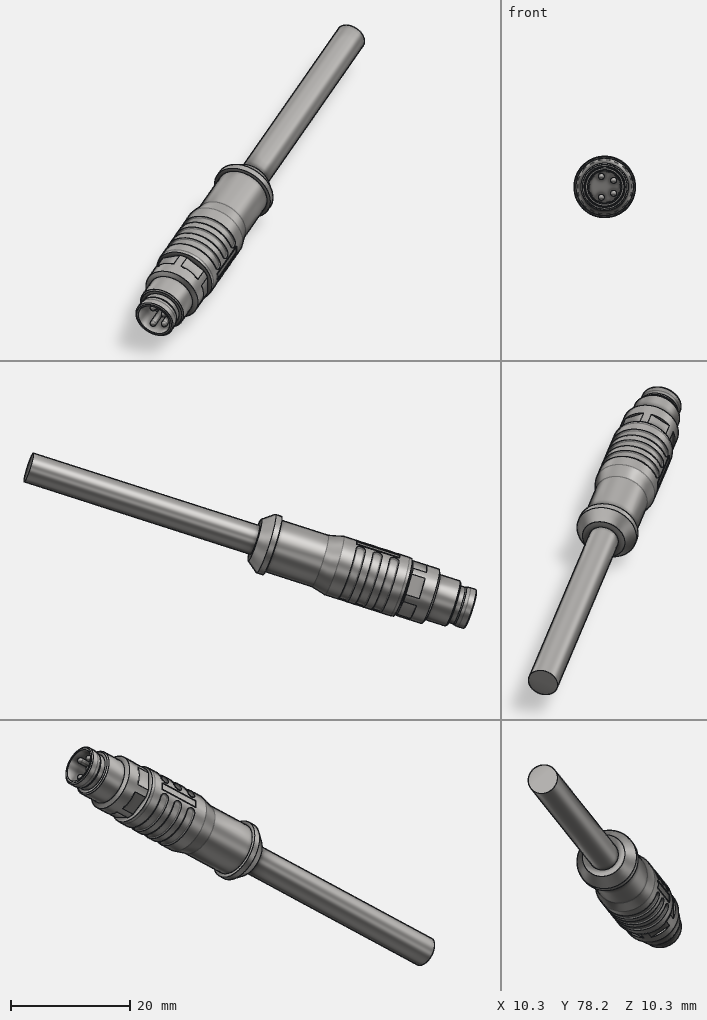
import cadquery as cq
import math

total_length = 78.2

cable_dia = 5.1
nose_dia = 6.9
neck_dia = 6.5
barrel_dia = 8.0
nut_dia = 9.6
shank_dia = 9.1
grip_dia = 10.3
cone_end_dia = 7.35

lip_start = 1.2
groove_start = 1.8
barrel_start = 3.0
nut_start = 6.7
nut_end = 11.65
grip_start = 12.05
grip_end = 24.2
shank_start = 26.7
flange_start = 35.1
flange_end = 36.2
cone_end = 38.2

nose_chamfer_length = 0.15
nose_chamfer_height = 0.2
lip_taper = 0.1
groove_wall_length = 0.2
barrel_chamfer = 0.2
nut_cone_length = 0.4
grip_chamfer_length = 0.55
grip_chamfer_height = 0.1

flat_count = 6
across_flats = 8.9
flat_start = 9.3

socket_dia = 5.8
socket_depth = 4.7
socket_floor_chamfer = 0.195
pin_dia = 1.0
pin_recess = 0.4
pin_circle_dia = 3.7
pole_pitch = 360 / 5
pin_angles = [(place - 1.5) * pole_pitch for place in range(4)]

groove_count = 3
groove_width = 1.65
groove_pitch = 3.0
first_groove = 15.1
groove_depth = 0.2
groove_fillet = 0.15
groove_tip_height = 1.2

window_height = 1.3
window_depth = 0.15
groove_row_length = (groove_count - 1) * groove_pitch
window_length = groove_row_length + groove_width

clearance = 0.8


def rod(diameter, start, end):
    """Cylinder on the connector axis between two distances from the plug face."""
    return cq.Workplane("XZ", origin=(0, start, 0)).circle(diameter / 2).extrude(start - end)


def revolve_around_axis(profile):
    return profile.close().revolve(360, (0, 0, 0), (0, 1, 0))


def turned_body():
    """Solid of revolution with all the outer steps of the connector and cable."""
    nose_r = nose_dia / 2
    neck_r = neck_dia / 2
    barrel_r = barrel_dia / 2
    nut_r = nut_dia / 2
    grip_r = grip_dia / 2
    shank_r = shank_dia / 2
    cable_r = cable_dia / 2

    profile = (
        cq.Workplane("XY")
        .lineTo(nose_r - nose_chamfer_height, 0)
        .lineTo(nose_r, nose_chamfer_length)
        .lineTo(nose_r, lip_start)
        .lineTo(nose_r - lip_taper, groove_start)
        .lineTo(neck_r, groove_start + groove_wall_length)
        .lineTo(neck_r, barrel_start)
        .lineTo(barrel_r - barrel_chamfer, barrel_start)
        .lineTo(barrel_r, barrel_start + barrel_chamfer)
        .lineTo(barrel_r, nut_start)
        .lineTo(nut_r, nut_start + nut_cone_length)
        .lineTo(nut_r, nut_end)
        .lineTo(neck_r, nut_end)
        .lineTo(neck_r, grip_start)
        .lineTo(grip_r - grip_chamfer_height, grip_start)
        .lineTo(grip_r, grip_start + grip_chamfer_length)
        .lineTo(grip_r, grip_end)
        .lineTo(shank_r, shank_start)
        .lineTo(shank_r, flange_start)
        .lineTo(grip_r, flange_start)
        .lineTo(grip_r, flange_end)
        .lineTo(cone_end_dia / 2, cone_end)
        .lineTo(cable_r, cone_end)
        .lineTo(cable_r, total_length)
        .lineTo(0, total_length)
    )
    return revolve_around_axis(profile)


def nut_flats():
    """Material outside a hexagon that has one pair of flats facing -X and +X."""
    corner_dia = across_flats / math.cos(math.pi / flat_count)
    hexagon = (
        cq.Workplane("XZ", origin=(0, flat_start, 0))
        .transformed(rotate=(0, 0, 180 / flat_count))
        .polygon(flat_count, corner_dia)
        .extrude(flat_start - nut_end)
    )
    return rod(nut_dia + clearance, flat_start, nut_end).cut(hexagon)


def grip_grooves():
    """Round-ended grooves of even depth that wrap over the top and bottom of the grip."""
    floor_r = grip_dia / 2 - groove_depth
    skin = rod(grip_dia + clearance, grip_start, grip_end).cut(rod(2 * floor_r, grip_start, grip_end))
    slot_length = grip_dia
    slots = cq.Workplane("XY")
    for side in (1, -1):
        middle = side * (groove_tip_height + slot_length / 2)
        for i in range(groove_count):
            y = first_groove + i * groove_pitch
            slot = (
                cq.Workplane("YZ", origin=(0, y, middle))
                .slot2D(slot_length, groove_width, 90)
                .extrude(grip_dia, both=True)
            )
            slots = slots.union(slot)
    cutters = skin.intersect(slots)

    def lies_on_floor(edge):
        point = edge.positionAt(0.5)
        return math.hypot(point.x, point.z) < floor_r + groove_depth / 10

    return cutters.edges().filter(lies_on_floor).fillet(groove_fillet)


def grip_window(side):
    """Cutter for a shallow flat-bottomed window on the -X (-1) or +X (1) side."""
    floor_x = grip_dia / 2 - window_depth
    middle_y = first_groove + groove_row_length / 2
    block = cq.Workplane("XY").box(clearance, window_length, window_height)
    return block.translate((side * (floor_x + clearance / 2), middle_y, 0))


def socket():
    return rod(socket_dia, 0, socket_depth).faces(">Y").chamfer(socket_floor_chamfer)


def pin(angle):
    """Contact pin with a round tip, standing on the socket floor."""
    pin_r = pin_dia / 2
    tip_mid = (pin_r * math.sin(math.pi / 4), pin_r * (1 - math.cos(math.pi / 4)))
    length = socket_depth - pin_recess
    profile = (
        cq.Workplane("XY")
        .threePointArc(tip_mid, (pin_r, pin_r))
        .lineTo(pin_r, length)
        .lineTo(0, length)
    )
    x = pin_circle_dia / 2 * math.cos(math.radians(angle))
    z = pin_circle_dia / 2 * math.sin(math.radians(angle))
    return revolve_around_axis(profile).translate((x, pin_recess, z))


result = turned_body().cut(nut_flats()).cut(grip_grooves()).cut(socket())
for side in (1, -1):
    result = result.cut(grip_window(side))
for angle in pin_angles:
    result = result.union(pin(angle))